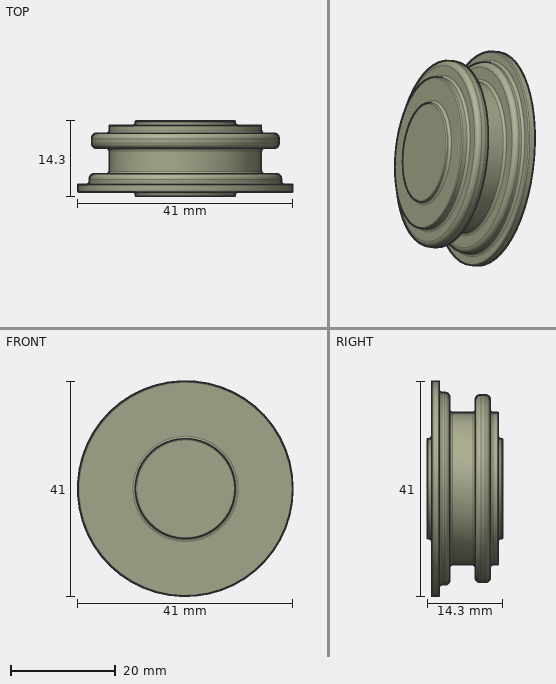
import cadquery as cq

flange_radius = 20.5
shoulder_radius = 18.33
rim_radius = 17.88
hub_radius = 14.5
boss_radius = 9.5

total_width = 14.35
boss_height = 0.8
flange_front = boss_height
flange_rear = 2.3
shoulder_rear = 4.3
rim_front = 9.15
rim_rear = 12.0
hub_rear = total_width - boss_height

root_fillet = 0.5
rim_fillet = 1.02
edge_fillet = 0.2


def disc(radius, y_start, y_end):
    """Solid disc about the Y axis between two Y positions."""
    plane = cq.Workplane("XZ", origin=(0, y_start, 0))
    return plane.circle(radius).extrude(y_start - y_end)


def round_circle(body, radius, y, fillet):
    """Fillet the circular edge with the given radius and Y position."""
    margin = 0.005
    wide = cq.selectors.BoxSelector(
        (-radius - margin, y - margin, -radius - margin),
        (radius + margin, y + margin, radius + margin),
        boundingbox=True,
    )
    inner = radius - margin
    narrow = cq.selectors.BoxSelector(
        (-inner, y - margin, -inner),
        (inner, y + margin, inner),
        boundingbox=True,
    )
    return body.edges(wide - narrow).fillet(fillet)


body = disc(boss_radius, 0, total_width)
body = body.union(disc(flange_radius, flange_front, flange_rear))
body = body.union(disc(shoulder_radius, flange_rear, shoulder_rear))
body = body.union(disc(hub_radius, shoulder_rear, hub_rear))
body = body.union(disc(rim_radius, rim_front, rim_rear))

roots = [
    (boss_radius, flange_front),
    (shoulder_radius, flange_rear),
    (hub_radius, shoulder_rear),
    (hub_radius, rim_front),
    (hub_radius, rim_rear),
    (boss_radius, hub_rear),
]
for radius, y in roots:
    body = round_circle(body, radius, y, root_fillet)

for radius, y in [(shoulder_radius, shoulder_rear), (rim_radius, rim_front), (rim_radius, rim_rear)]:
    body = round_circle(body, radius, y, rim_fillet)

light_edges = [
    (boss_radius, 0),
    (flange_radius, flange_front),
    (flange_radius, flange_rear),
    (hub_radius, hub_rear),
    (boss_radius, total_width),
]
for radius, y in light_edges:
    body = round_circle(body, radius, y, edge_fillet)

result = body